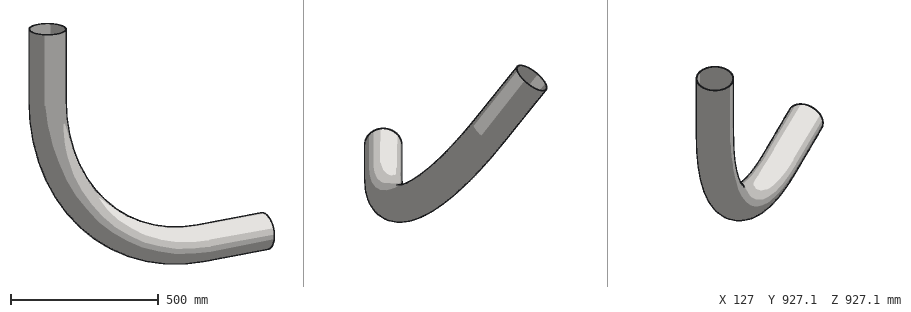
import cadquery as cq
import math

outer_diameter = 127.0
inner_diameter = 120.9
bend_radius = 609.6
leg_length = 254.0

bend_middle_offset = bend_radius * math.cos(math.radians(45))
bend_middle = (bend_radius - bend_middle_offset, -bend_middle_offset)
bend_end = (bend_radius, -bend_radius)


def centreline():
    """Upright leg, quarter bend and level leg, drawn in the YZ plane."""
    return (
        cq.Workplane("YZ")
        .moveTo(0, leg_length)
        .lineTo(0, 0)
        .threePointArc(bend_middle, bend_end)
        .lineTo(bend_radius + leg_length, -bend_radius)
    )


def bent_tube():
    """Ring section at the top of the upright leg, swept along the centreline."""
    section = (
        cq.Workplane("XY", origin=(0, 0, leg_length))
        .circle(outer_diameter / 2)
        .circle(inner_diameter / 2)
    )
    return section.sweep(centreline())


result = bent_tube()